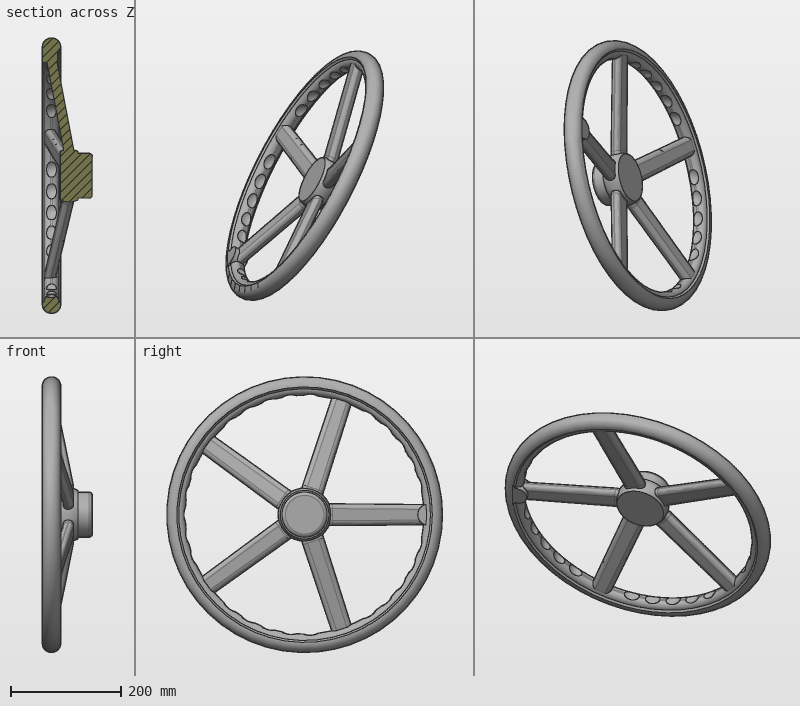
import cadquery as cq
import math


wheel_radius = 250.0
rim_radius = 17.0
rim_mid_x = rim_radius
rim_mid_radius = wheel_radius - rim_radius
grip_inner_radius = 216.0
grip_corner_radius = 12.0
grip_flat_width = 3.0
grip_step_radius = 231.5

dimple_radius = 21.5
dimple_depth = 4.5
dimple_count = 5
dimple_pitch = 10.5

spoke_count = 5
spoke_angle = 360 / spoke_count
spoke_thickness = 19.0
spoke_edge_radius = 9.0
spoke_root_width = 40.0
spoke_tip_width = 37.0
spoke_start_radius = 20.0
spoke_bend_radius = 50.5
spoke_tip_radius = 225.0
spoke_root_x = 47.5
spoke_slope = 10.8

hub_face_radius = 44.0
hub_belly_radius = 48.5
hub_face_x = 32.5
hub_belly_end = 65.0
neck_radius = 82.0 / 2
hub_end = 91.0
hub_end_fillet = 6.0

boss_radius = 19.0
boss_length = 28.0
boss_centre_radius = 224.0
boss_outer_radius = 232.0
boss_flare = 6.0


def about_wheel_axis(shape, angle):
    """Copy of the shape turned about the X axis by an angle in degrees."""
    return shape.rotate((0, 0, 0), (1, 0, 0), angle)


def make_rim():
    """Ring with a round outside and a narrower grip with rounded corners inside."""
    grip_half_width = grip_corner_radius + grip_flat_width / 2
    grip_tangent_radius = grip_inner_radius + grip_corner_radius
    corner_diagonal = grip_corner_radius * math.sqrt(0.5)
    step_offset = math.sqrt(rim_radius**2 - (rim_mid_radius - grip_step_radius) ** 2)
    corner_mid_x = grip_flat_width / 2 + corner_diagonal
    corner_mid_radius = grip_tangent_radius - corner_diagonal
    return (
        cq.Workplane("XY")
        .moveTo(rim_mid_x - step_offset, grip_step_radius)
        .threePointArc((rim_mid_x, wheel_radius), (rim_mid_x + step_offset, grip_step_radius))
        .lineTo(rim_mid_x + grip_half_width, grip_tangent_radius)
        .threePointArc(
            (rim_mid_x + corner_mid_x, corner_mid_radius),
            (rim_mid_x + grip_flat_width / 2, grip_inner_radius),
        )
        .lineTo(rim_mid_x - grip_flat_width / 2, grip_inner_radius)
        .threePointArc(
            (rim_mid_x - corner_mid_x, corner_mid_radius),
            (rim_mid_x - grip_half_width, grip_tangent_radius),
        )
        .close()
        .revolve(360, (0, 0, 0), (1, 0, 0))
    )


def cut_dimples(rim):
    """Cut a row of spherical finger dimples centred between each pair of spokes."""
    dimple_centre_radius = grip_inner_radius + dimple_depth - dimple_radius
    dimple = cq.Workplane("XY").sphere(dimple_radius).translate((rim_mid_x, dimple_centre_radius, 0))
    for spoke in range(spoke_count):
        for index in range(dimple_count):
            offset = (index - (dimple_count - 1) / 2) * dimple_pitch
            rim = rim.cut(about_wheel_axis(dimple, (spoke + 0.5) * spoke_angle + offset))
    return rim


def spoke_section(radius, mid_x, width):
    """Rounded rectangle at the given radius, across the spoke that points along +Y."""
    plane = cq.Plane(origin=(mid_x, radius, 0), xDir=(1, 0, 0), normal=(0, 1, 0))
    outline = cq.Sketch().rect(spoke_thickness, width).vertices().fillet(spoke_edge_radius)
    return cq.Workplane(plane).placeSketch(outline).extrude(5).faces("<Y").wires().val()


def make_spoke():
    """Short straight root followed by a sloping, slightly tapered arm."""
    drop = (spoke_tip_radius - spoke_bend_radius) * math.tan(math.radians(spoke_slope))
    sections = [
        spoke_section(spoke_start_radius, spoke_root_x, spoke_root_width),
        spoke_section(spoke_bend_radius, spoke_root_x, spoke_root_width),
        spoke_section(spoke_tip_radius, spoke_root_x - drop, spoke_tip_width),
    ]
    return cq.Workplane(cq.Solid.makeLoft(sections, True))


def make_hub():
    """Barrel-shaped body with a cylindrical neck rounded at its end."""
    belly_mid = (hub_face_x + hub_belly_end) / 2
    body = (
        cq.Workplane("XY")
        .moveTo(hub_face_x, 0)
        .lineTo(hub_face_x, hub_face_radius)
        .threePointArc((belly_mid, hub_belly_radius), (hub_belly_end, hub_face_radius))
        .lineTo(hub_belly_end, 0)
        .close()
        .revolve(360, (0, 0, 0), (1, 0, 0))
    )
    neck = (
        cq.Workplane("YZ", origin=(belly_mid, 0, 0))
        .circle(neck_radius)
        .extrude(hub_end - belly_mid)
        .faces(">X")
        .edges()
        .fillet(hub_end_fillet)
    )
    return body.union(neck)


def make_boss():
    """Boss level with the face of the rim, round towards the hub and flaring out into the rim."""
    flare_start = boss_outer_radius - boss_flare
    flare_half_width = boss_radius + boss_flare
    return (
        cq.Workplane("YZ")
        .moveTo(boss_outer_radius, -flare_half_width)
        .lineTo(flare_start, -boss_radius)
        .lineTo(boss_centre_radius, -boss_radius)
        .threePointArc((boss_centre_radius - boss_radius, 0), (boss_centre_radius, boss_radius))
        .lineTo(flare_start, boss_radius)
        .lineTo(boss_outer_radius, flare_half_width)
        .close()
        .extrude(boss_length)
    )


wheel = cut_dimples(make_rim()).union(make_hub()).union(make_boss())
spoke = make_spoke()
for number in range(spoke_count):
    wheel = wheel.union(about_wheel_axis(spoke, number * spoke_angle))

result = wheel